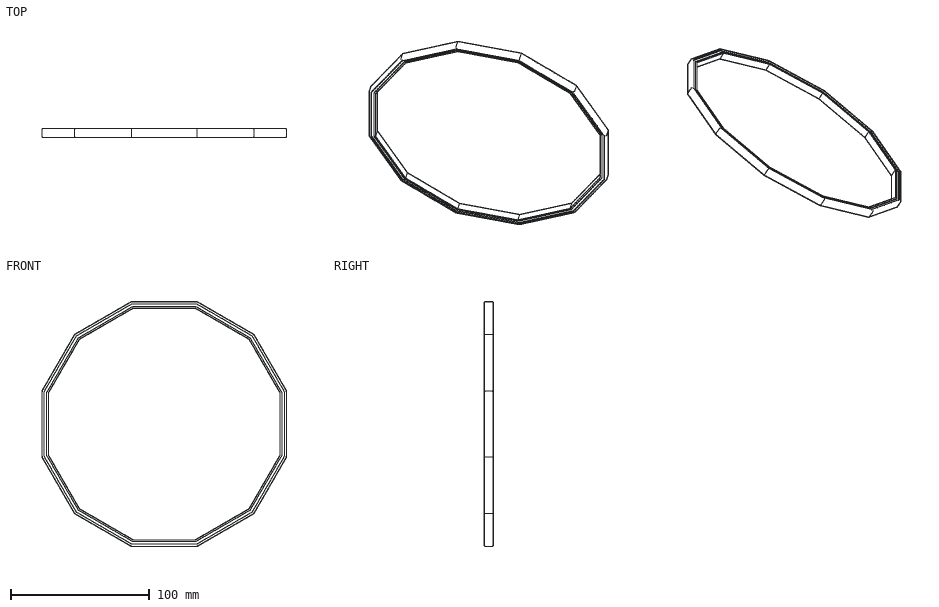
import cadquery as cq
import math

SIDE_COUNT = 12
ACROSS_FLATS = 176.8
DEPTH = 6.7
RIM_RADIUS = 1.15

LIP_WIDTH = 1.65
GROOVE_WIDTH = 2.0
INNER_BAND_WIDTH = 1.27

INNER_BAND_RECESS = 0.58
GROOVE_DEPTH = 1.15

GROOVE_INSET = LIP_WIDTH
INNER_BAND_INSET = GROOVE_INSET + GROOVE_WIDTH
OPENING_INSET = INNER_BAND_INSET + INNER_BAND_WIDTH

FRONT_Y = -DEPTH / 2
BACK_Y = DEPTH / 2


def prism(inset, y_start, y_end):
    """Solid prism along Y with its sides `inset` inside the outer flats."""
    apothem = ACROSS_FLATS / 2 - inset
    corner_diameter = 2 * apothem / math.cos(math.pi / SIDE_COUNT)
    half_step_angle = 180 / SIDE_COUNT
    return (
        cq.Workplane("XZ", origin=(0, y_start, 0))
        .transformed(rotate=(0, 0, half_step_angle))
        .polygon(SIDE_COUNT, corner_diameter)
        .extrude(y_start - y_end)
    )


def band(outer_inset, inner_inset, y_start, y_end):
    """Twelve-sided band between two insets."""
    return prism(outer_inset, y_start, y_end).cut(prism(inner_inset, y_start, y_end))


plate = prism(0, FRONT_Y, BACK_Y).faces("<Y or >Y").edges().fillet(RIM_RADIUS)
frame = plate.cut(prism(OPENING_INSET, FRONT_Y, BACK_Y))

front_recess = prism(GROOVE_INSET, FRONT_Y, FRONT_Y + INNER_BAND_RECESS)
back_recess = prism(GROOVE_INSET, BACK_Y - INNER_BAND_RECESS, BACK_Y)

groove = band(GROOVE_INSET, INNER_BAND_INSET, FRONT_Y, FRONT_Y + GROOVE_DEPTH)

result = frame.cut(front_recess).cut(back_recess).cut(groove)